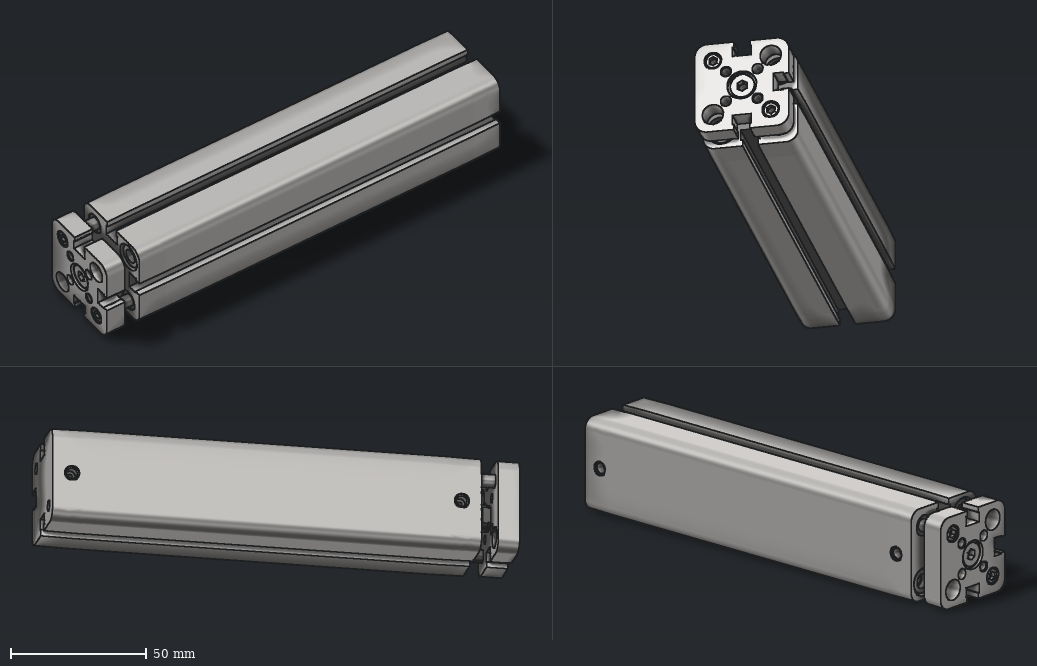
import cadquery as cq
import math


total_length = 176.6
body_size = 36.4
front_y = -total_length / 2
rear_y = total_length / 2

plate_thickness = 8.1
plate_size = 35.7
plate_back_y = front_y + plate_thickness
rod_gap = 6.4
cap_front_y = plate_back_y + rod_gap

cap_length = 11.8
cap_end_size = 36.0
corner_radius = 4.6
cap_draft = math.degrees(math.atan((body_size - cap_end_size) / 2 / cap_length))

groove_mouth = 5.8
groove_inner_width = 7.2
groove_lip = 2.6
groove_floor = 11.5
notch_mouth = 6.2
notch_inner_width = 7.0
notch_lip = 2.1
notch_floor = 12.0
groove_angles = (0, 90, 180)

piston_rod_diameter = 10.0
rod_neck_diameter = 9.7
rod_neck_length = 0.9
flat_distance = 8.0
flat_length = 3.0
flat_runout = (piston_rod_diameter - flat_distance) / 2

corner_offset = 11.0
inner_offset = 6.0
falling_diagonal = ((-1, 1), (1, -1))
rising_diagonal = ((1, 1), (-1, -1))

guide_rod_diameter = 5.0
bearing_diameter = 8.0
bearing_depth = 0.5

bolt_hole_diameter = 4.0
bolt_socket_diameter = 5.5
bolt_socket_depth = 2.6
bolt_head_diameter = 9.2
bolt_head_height = 1.8
bolt_pocket_diameter = 11.0
bolt_pocket_depth = 2.6
access_hole_diameter = 8.0

screw_pocket_diameter = 6.5
screw_pocket_depth = 1.0
screw_head_diameter = 5.5
screw_head_height = 0.7
screw_socket_width = 3.0
screw_socket_depth = 1.8

inner_hole_diameter = 4.0
thread_core_diameter = 3.4
thread_chamfer = (inner_hole_diameter - thread_core_diameter) / 2

centre_recess_diameter = 11.1
centre_recess_depth = 1.5
centre_head_diameter = 9.2
centre_head_height = 0.7
centre_socket_width = 3.7
centre_socket_depth = 2.6

drill_point_slope = 30

port_end_distance = 7.5
port_rim_diameter = 5.5
port_diameter = 4.0
port_rim_depth = 0.9
port_depth = 4.5
port_duct_diameter = 1.75
port_duct_depth = 8.0


def section_at(y):
    """Workplane across the axis at y, with X to the right, Z up and its normal toward -Y."""
    return cq.Workplane("XZ", origin=(0, y, 0))


def rounded_square(size):
    return cq.Sketch().rect(size, size).vertices().fillet(corner_radius)


def pattern(signs, offset):
    return [(x_sign * offset, z_sign * offset) for x_sign, z_sign in signs]


def cylinders(points, diameter, start_y, length):
    """Cylinders at the given X, Z points running from start_y toward +Y."""
    return section_at(start_y).pushPoints(points).circle(diameter / 2).extrude(-length)


def cone_inward(x, z, start_y, diameter, end_diameter, length):
    """Cone running from start_y toward +Y."""
    start = cq.Vector(x, start_y, z)
    return cq.Workplane(
        cq.Solid.makeCone(diameter / 2, end_diameter / 2, length, start, cq.Vector(0, 1, 0))
    )


def side_channel(width, inner, outer, start_y, length):
    """Bar on the +X side between two distances from the axis."""
    middle = (inner + outer) / 2
    return section_at(start_y).center(middle, 0).rect(outer - inner, width).extrude(-length)


def cut_stepped_grooves(part, mouth_width, inner_width, floor, lip_bottom, start_y, length):
    """Grooves with a narrow mouth on every grooved side."""
    mouth = side_channel(mouth_width, floor, body_size / 2, start_y, length)
    inside = side_channel(inner_width, floor, lip_bottom, start_y, length)
    groove = mouth.union(inside)
    for angle in groove_angles:
        part = part.cut(groove.rotate((0, 0, 0), (0, 1, 0), angle - 90))
    return part


def hex_socket(x, z, start_y, width, depth):
    """Hexagonal recess with corners up and down and a drill point at the bottom."""
    corner_diameter = width / math.cos(math.pi / 6)
    hexagon = section_at(start_y).polygon(6, corner_diameter).extrude(-depth)
    hexagon = hexagon.rotate((0, 0, 0), (0, 1, 0), 90).translate((x, 0, z))
    point_length = width / 2 * math.tan(math.radians(drill_point_slope))
    point = cone_inward(x, z, start_y + depth, width, 0, point_length)
    return hexagon.union(point)


def make_body():
    barrel_front_y = cap_front_y + cap_length
    barrel_rear_y = rear_y - cap_length
    profile = rounded_square(body_size)
    body = section_at(barrel_front_y).placeSketch(profile).extrude(barrel_front_y - barrel_rear_y)
    front_cap = section_at(barrel_front_y).placeSketch(profile).extrude(cap_length, taper=cap_draft)
    rear_plane = cq.Workplane("ZX", origin=(0, barrel_rear_y, 0))
    rear_cap = rear_plane.placeSketch(profile).extrude(cap_length, taper=cap_draft)
    body = body.union(front_cap).union(rear_cap)

    lip_bottom = body_size / 2 - groove_lip
    length = rear_y - cap_front_y
    return cut_stepped_grooves(
        body, groove_mouth, groove_inner_width, groove_floor, lip_bottom, cap_front_y, length
    )


def cut_body_holes(body):
    bearings = pattern(falling_diagonal, corner_offset)
    bolts = pattern(rising_diagonal, corner_offset)
    pocket_floor_y = cap_front_y + bolt_pocket_depth
    head_y = pocket_floor_y - bolt_head_height
    body = body.cut(cylinders(bearings, bearing_diameter, cap_front_y, bearing_depth))
    body = body.cut(cylinders(bolts, bolt_pocket_diameter, cap_front_y, bolt_pocket_depth))
    body = body.union(cylinders(bolts, bolt_head_diameter, head_y, bolt_head_height))
    body = body.cut(cylinders(bolts, bolt_socket_diameter, head_y, bolt_socket_depth))
    return body.cut(cylinders(bolts, bolt_hole_diameter, cap_front_y, rear_y - cap_front_y))


def cut_ports(body):
    port_steps = (
        (port_rim_diameter, port_rim_depth),
        (port_diameter, port_depth),
        (port_duct_diameter, port_duct_depth),
    )
    for y in (cap_front_y + port_end_distance, rear_y - port_end_distance):
        plane = cq.Workplane("YZ", origin=(-body_size / 2, y, 0))
        for diameter, depth in port_steps:
            body = body.cut(plane.circle(diameter / 2).extrude(depth))
    return body


def make_plate():
    plate = section_at(front_y).placeSketch(rounded_square(plate_size)).extrude(-plate_thickness)
    lip_bottom = plate_size / 2 - notch_lip
    plate = cut_stepped_grooves(
        plate, notch_mouth, notch_inner_width, notch_floor, lip_bottom, front_y, plate_thickness
    )

    access = pattern(rising_diagonal, corner_offset)
    pins = pattern(rising_diagonal, inner_offset)
    threads = pattern(falling_diagonal, inner_offset)
    plate = plate.cut(cylinders(access, access_hole_diameter, front_y, plate_thickness))
    plate = plate.cut(cylinders(pins, inner_hole_diameter, front_y, plate_thickness))
    plate = plate.cut(cylinders(threads, thread_core_diameter, front_y, plate_thickness))
    for x, z in threads:
        sink = cone_inward(x, z, front_y, inner_hole_diameter, thread_core_diameter, thread_chamfer)
        plate = plate.cut(sink)
    return plate


def add_plate_screws(plate):
    points = pattern(falling_diagonal, corner_offset)
    pocket_floor_y = front_y + screw_pocket_depth
    head_y = pocket_floor_y - screw_head_height
    plate = plate.cut(cylinders(points, screw_pocket_diameter, front_y, screw_pocket_depth))
    plate = plate.union(cylinders(points, screw_head_diameter, head_y, screw_head_height))
    for x, z in points:
        plate = plate.cut(hex_socket(x, z, head_y, screw_socket_width, screw_socket_depth))
    return plate


def add_centre_screw(plate):
    axis_point = [(0, 0)]
    head_y = front_y + centre_recess_depth - centre_head_height
    plate = plate.cut(cylinders(axis_point, centre_recess_diameter, front_y, centre_recess_depth))
    plate = plate.union(cylinders(axis_point, centre_head_diameter, head_y, centre_head_height))
    return plate.cut(hex_socket(0, 0, head_y, centre_socket_width, centre_socket_depth))


def make_piston_rod():
    shank_length = rod_gap - rod_neck_length
    axis_point = [(0, 0)]
    neck = cylinders(axis_point, rod_neck_diameter, plate_back_y, rod_neck_length)
    shank = cylinders(axis_point, piston_rod_diameter, plate_back_y + rod_neck_length, shank_length)
    rod = neck.union(shank)
    flat_end_y = plate_back_y + flat_length
    inner_x = flat_distance / 2
    outer_x = piston_rod_diameter / 2
    flat = (
        cq.Workplane("XY", origin=(0, 0, -outer_x))
        .moveTo(inner_x, plate_back_y)
        .lineTo(inner_x, flat_end_y)
        .lineTo(outer_x, flat_end_y + flat_runout)
        .lineTo(outer_x, plate_back_y)
        .close()
        .extrude(piston_rod_diameter)
    )
    return rod.cut(flat).cut(flat.mirror("YZ"))


def make_guide_rods():
    points = pattern(falling_diagonal, corner_offset)
    return cylinders(points, guide_rod_diameter, plate_back_y, rod_gap + bearing_depth)


body = cut_ports(cut_body_holes(make_body()))
plate = add_centre_screw(add_plate_screws(make_plate()))
result = body.union(plate).union(make_piston_rod()).union(make_guide_rods())